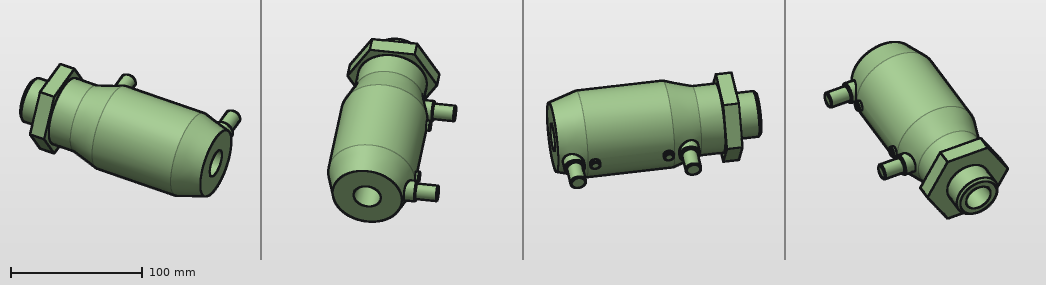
import cadquery as cq
import math

length = 159.0
spigot_length = 17.8
spigot_radius = 17.6
spigot_chamfer = 2.0
bore_radius = 10.5

hex_thickness = 12.1
hex_across_flats = 60.0

neck_radius = 26.7
neck_end = 48.2
barrel_diameter = 67.0
barrel_radius = barrel_diameter / 2
barrel_start = 70.1
barrel_end = 137.0

port_positions = (58.8, 147.9)
collar_radius = 8.0
collar_top = 36.4
stem_radius = 6.0
stem_top = 53.0
peg_positions = (74.9, 131.8)
peg_radius = 4.0
peg_top = collar_top
post_chamfer = 0.8
root_height = (bore_radius + neck_radius) / 2


def make_body():
    """Chamfered spigot, neck and barrel with a taper at each end."""
    profile = [
        (0, 0),
        (0, spigot_radius - spigot_chamfer),
        (spigot_chamfer, spigot_radius),
        (spigot_length, spigot_radius),
        (spigot_length, neck_radius),
        (neck_end, neck_radius),
        (barrel_start, barrel_radius),
        (barrel_end, barrel_radius),
        (length, neck_radius),
        (length, 0),
    ]
    return cq.Workplane("XY").polyline(profile).close().revolve(360, (0, 0, 0), (1, 0, 0))


def make_hex():
    """Hexagonal flange with flats facing +Z and -Z."""
    across_corners = hex_across_flats / math.cos(math.pi / 6)
    return (
        cq.Workplane("YZ", origin=(spigot_length, 0, 0))
        .polygon(6, across_corners)
        .extrude(hex_thickness)
    )


def make_post(x, radius, top):
    """Round post along +Y with a chamfered tip, from inside the wall to the given height."""
    post = cq.Solid.makeCylinder(
        radius, top - root_height, cq.Vector(x, root_height, 0), cq.Vector(0, 1, 0)
    )
    return cq.Workplane(obj=post).faces(">Y").chamfer(post_chamfer)


result = make_body().union(make_hex())

for x in port_positions:
    collar = make_post(x, collar_radius, collar_top)
    stem = make_post(x, stem_radius, stem_top)
    result = result.union(collar).union(stem)

for x in peg_positions:
    result = result.union(make_post(x, peg_radius, peg_top))

bore = cq.Workplane("YZ").circle(bore_radius).extrude(length)
result = result.cut(bore)